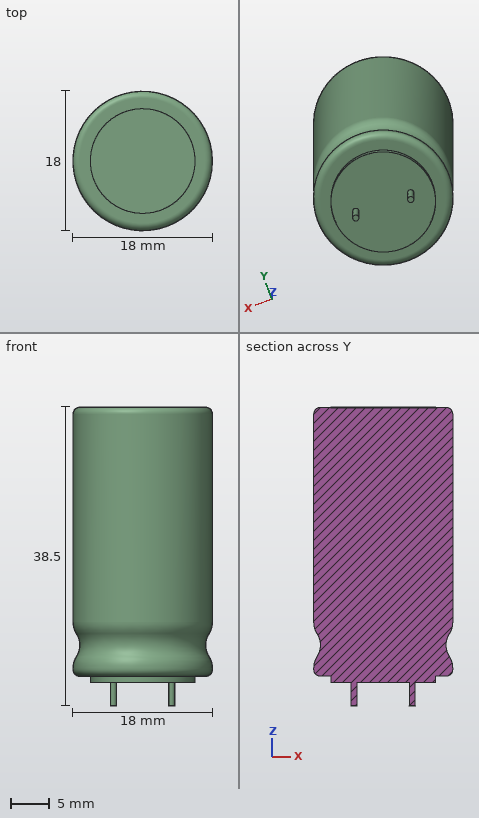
import math

import cadquery as cq


can_diameter = 18.0
can_radius = can_diameter / 2
can_top_z = 35.5
edge_radius = can_diameter / 20

base_height = 0.8
end_disc_radius = 0.75 * can_radius
top_recess_depth = 0.1

groove_center_z = 4.83
groove_arc_radius = 2.7
cone_angle = math.radians(30)
cone_height = 0.25

lead_diameter = 0.8
lead_pitch = 7.5
lead_length = 3.0


def make_can():
    """Revolve the can's half section about Z, drawn from the bottom up."""
    arc_height = groove_arc_radius * math.sin(cone_angle)
    arc_depth = groove_arc_radius * (1 - math.cos(cone_angle))

    cone_outer_radius = can_radius - arc_depth
    cone_inner_radius = cone_outer_radius - cone_height * math.tan(cone_angle)
    throat_radius = cone_inner_radius - arc_depth
    inner_offset = arc_height
    outer_offset = inner_offset + cone_height
    shoulder_offset = outer_offset + arc_height

    section = (
        cq.Workplane("XZ")
        .moveTo(0, base_height)
        .lineTo(can_radius - edge_radius, base_height)
        .tangentArcPoint((can_radius, base_height + edge_radius), relative=False)
        .lineTo(can_radius, groove_center_z - shoulder_offset)
        .tangentArcPoint((cone_outer_radius, groove_center_z - outer_offset), relative=False)
        .lineTo(cone_inner_radius, groove_center_z - inner_offset)
        .threePointArc(
            (throat_radius, groove_center_z),
            (cone_inner_radius, groove_center_z + inner_offset),
        )
        .lineTo(cone_outer_radius, groove_center_z + outer_offset)
        .tangentArcPoint((can_radius, groove_center_z + shoulder_offset), relative=False)
        .lineTo(can_radius, can_top_z - edge_radius)
        .tangentArcPoint((can_radius - edge_radius, can_top_z), relative=False)
        .lineTo(0, can_top_z)
        .close()
    )
    return section.revolve(360, (0, 0, 0), (0, 1, 0))


def make_base_disc():
    return cq.Workplane("XY").circle(end_disc_radius).extrude(base_height)


def make_top_recess():
    top_plane = cq.Workplane("XY").workplane(offset=can_top_z)
    return top_plane.circle(end_disc_radius).extrude(-top_recess_depth)


def make_leads():
    half_pitch = lead_pitch / 2
    return (
        cq.Workplane("XY")
        .pushPoints([(-half_pitch, 0), (half_pitch, 0)])
        .circle(lead_diameter / 2)
        .extrude(-lead_length)
    )


result = make_can().union(make_base_disc()).cut(make_top_recess()).union(make_leads())